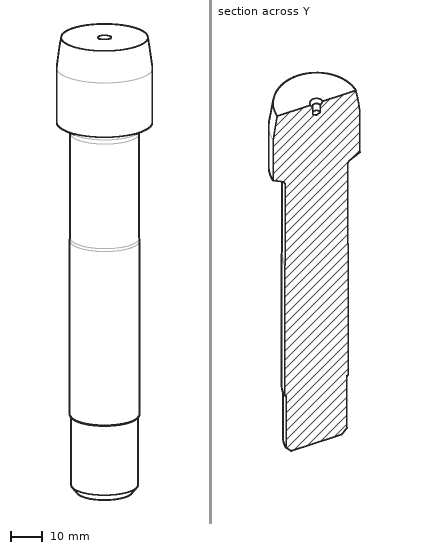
import cadquery as cq
import math

total_length = 150.0
head_taper_base = 140.0
head_base = 122.0
relief_base = 83.8
guide_top = 83.0
guide_base = 25.5
tail_top = 25.0

head_top_diameter = 27.3
head_diameter = 30.2
neck_diameter = 21.8
guide_diameter = 22.0
tail_diameter = 21.2
tail_end_diameter = 17.5
tail_chamfer_height = 2.2

crown_radius = 100.0
shoulder_angle = math.radians(30)
shoulder_fillet = 2.0

centre_mouth_diameter = 4.2
centre_hole_diameter = 2.5
centre_hole_depth = 4.5
countersink_half_angle = math.radians(30)
drill_tip_half_angle = math.radians(60)


def make_pin():
    """Revolve the half outline of the pin about Z."""
    head_radius = head_diameter / 2
    neck_radius = neck_diameter / 2
    head_top_radius = head_top_diameter / 2

    corner_z = head_base - (head_radius - neck_radius) * math.tan(shoulder_angle)
    turn = math.pi / 2 - shoulder_angle
    tangent_length = shoulder_fillet * math.tan(turn / 2)
    fillet_start = (
        neck_radius + tangent_length * math.cos(shoulder_angle),
        corner_z + tangent_length * math.sin(shoulder_angle),
    )
    fillet_end = (neck_radius, corner_z - tangent_length)
    fillet_centre = (neck_radius + shoulder_fillet, fillet_end[1])
    middle_angle = math.pi - turn / 2
    fillet_middle = (
        fillet_centre[0] + shoulder_fillet * math.cos(middle_angle),
        fillet_centre[1] + shoulder_fillet * math.sin(middle_angle),
    )

    chord_r = head_top_radius - head_radius
    chord_z = total_length - head_taper_base
    chord = math.hypot(chord_r, chord_z)
    bulge = crown_radius - math.sqrt(crown_radius**2 - (chord / 2) ** 2)
    crown_middle = (
        head_radius + chord_r / 2 + bulge * chord_z / chord,
        head_taper_base + chord_z / 2 - bulge * chord_r / chord,
    )

    outline = (
        cq.Workplane("XZ")
        .lineTo(tail_end_diameter / 2, 0)
        .lineTo(tail_diameter / 2, tail_chamfer_height)
        .lineTo(tail_diameter / 2, tail_top)
        .lineTo(guide_diameter / 2, guide_base)
        .lineTo(guide_diameter / 2, guide_top)
        .lineTo(neck_radius, relief_base)
        .lineTo(*fillet_end)
        .threePointArc(fillet_middle, fillet_start)
        .lineTo(head_radius, head_base)
        .lineTo(head_radius, head_taper_base)
        .threePointArc(crown_middle, (head_top_radius, total_length))
        .lineTo(0, total_length)
        .close()
    )
    return outline.revolve()


def make_centre_hole():
    """Countersunk blind hole with a conical drill tip."""
    mouth_radius = centre_mouth_diameter / 2
    hole_radius = centre_hole_diameter / 2
    countersink_depth = (mouth_radius - hole_radius) / math.tan(countersink_half_angle)
    hole_base = total_length - centre_hole_depth
    tip_height = hole_radius / math.tan(drill_tip_half_angle)
    outline = (
        cq.Workplane("XZ")
        .moveTo(0, total_length)
        .lineTo(mouth_radius, total_length)
        .lineTo(hole_radius, total_length - countersink_depth)
        .lineTo(hole_radius, hole_base)
        .lineTo(0, hole_base - tip_height)
        .close()
    )
    return outline.revolve()


result = make_pin().cut(make_centre_hole())